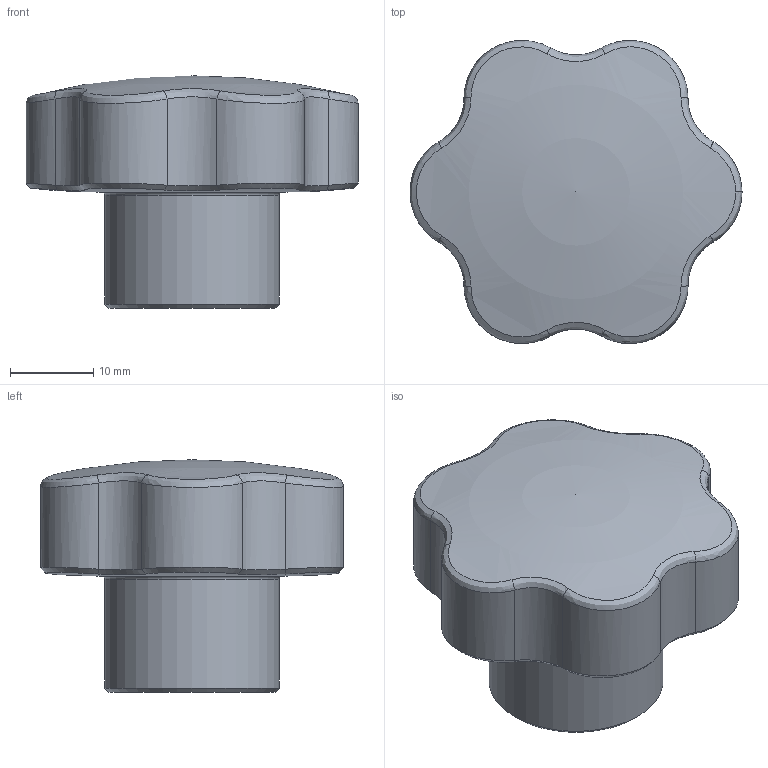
import cadquery as cq
import math

total_height = 28.0
shank_diameter = 21.0
shank_chamfer = 0.5
neck_fillet = 0.4

lobe_count = 6
lobe_radius = 7.0
valley_radius = 6.0
lobe_center_radius = 13.0

underside_z = 14.0
flat_radius = 11.5
underside_arc_radius = 68.0
dome_radius = 80.0
rim_fillet = 1.0
rim_chamfer = 0.55

blank_allowance = 1.0
selection_margin = 0.1

shank_radius = shank_diameter / 2
head_radius = lobe_center_radius + lobe_radius
lobe_pitch = 360.0 / lobe_count
half_pitch = math.radians(lobe_pitch / 2)
lobe_offset = lobe_center_radius * math.sin(half_pitch)
radius_sum = lobe_radius + valley_radius
valley_center_radius = lobe_center_radius * math.cos(half_pitch) + math.sqrt(radius_sum**2 - lobe_offset**2)
valley_depth_radius = valley_center_radius - valley_radius
blank_radius = head_radius + blank_allowance
rim_arc_reach = blank_radius - flat_radius
blank_rim_z = underside_z + underside_arc_radius - math.sqrt(underside_arc_radius**2 - rim_arc_reach**2)
dome_center_z = total_height - dome_radius


def polar(radius, angle):
    """Point at the given radius and angle (degrees) about the knob axis."""
    return (radius * math.cos(math.radians(angle)), radius * math.sin(math.radians(angle)))


def tangent_point(lobe_angle, valley_angle):
    """Point where a lobe arc runs smoothly into the neighbouring valley arc."""
    lobe_center = cq.Vector(*polar(lobe_center_radius, lobe_angle))
    valley_center = cq.Vector(*polar(valley_center_radius, valley_angle))
    point = lobe_center + (valley_center - lobe_center) * (lobe_radius / radius_sum)
    return (point.x, point.y)


def lobed_prism():
    """Full-height prism with the wavy outline of the head."""
    outline = cq.Workplane("XY").moveTo(*tangent_point(0, -lobe_pitch / 2))
    for index in range(lobe_count):
        lobe_angle = index * lobe_pitch
        valley_angle = lobe_angle + lobe_pitch / 2
        next_lobe_angle = lobe_angle + lobe_pitch
        outline = outline.threePointArc(
            polar(head_radius, lobe_angle), tangent_point(lobe_angle, valley_angle)
        )
        outline = outline.threePointArc(
            polar(valley_depth_radius, valley_angle), tangent_point(next_lobe_angle, valley_angle)
        )
    return outline.close().extrude(total_height)


def dome_z(radius):
    """Height of the domed top at a given distance from the axis."""
    return dome_center_z + math.sqrt(dome_radius**2 - radius**2)


def turned_blank():
    """Disc with a domed top and an underside that curves up towards the rim."""
    return (
        cq.Workplane("XZ")
        .moveTo(0, underside_z)
        .lineTo(flat_radius, underside_z)
        .tangentArcPoint((blank_radius, blank_rim_z), relative=False)
        .lineTo(blank_radius, dome_z(blank_radius))
        .threePointArc((blank_radius / 2, dome_z(blank_radius / 2)), (0, total_height))
        .close()
        .revolve(360, (0, 0, 0), (0, 1, 0))
    )


def head():
    """Lobed head with a rounded top edge and a chamfered bottom edge."""
    body = turned_blank().intersect(lobed_prism())
    body = body.faces(">Z").edges().fillet(rim_fillet)
    rim_edges = cq.selectors.BoxSelector(
        (-blank_radius, -blank_radius, underside_z + selection_margin),
        (blank_radius, blank_radius, blank_rim_z),
    )
    return body.edges(rim_edges).chamfer(rim_chamfer)


def shank():
    """Round shank with a chamfered lower edge."""
    return cq.Workplane("XY").circle(shank_radius).extrude(underside_z).faces("<Z").chamfer(shank_chamfer)


def knob():
    """Head and shank joined, with a small fillet in the corner between them."""
    body = head().union(shank())
    corner_box = cq.selectors.BoxSelector(
        (-neck_fillet, -neck_fillet, underside_z - neck_fillet),
        (neck_fillet, neck_fillet, underside_z + neck_fillet),
    )
    circles = body.edges(corner_box)
    corner = circles.filter(lambda edge: abs(edge.radius() - shank_radius) < selection_margin)
    return corner.fillet(neck_fillet)


result = knob()